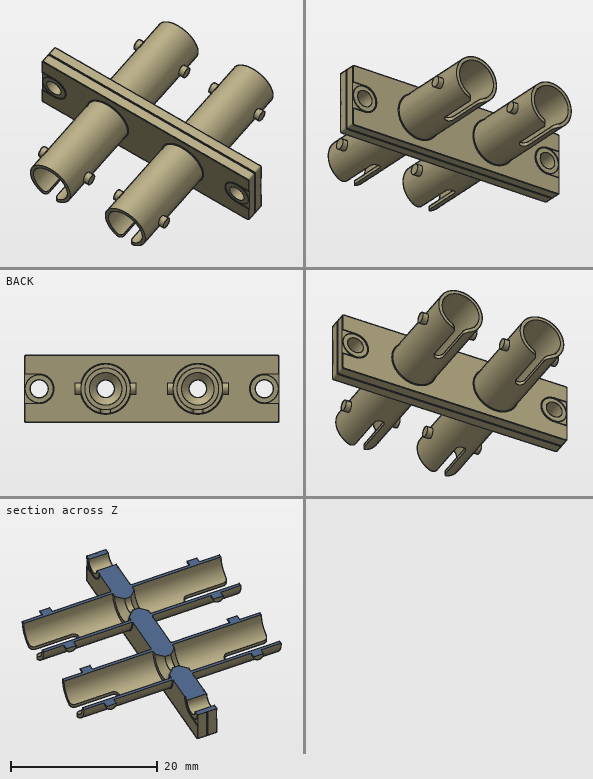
import cadquery as cq
import math

plate_length = 34.8
plate_height = 9.25
plate_thickness = 3.0
corner_radius = 0.28
face_chamfer = 0.07
groove_chamfer = 0.1

overall_depth = 29.95
barrel_spacing = 12.6
barrel_radius = 3.38
bore_radius = 2.85
base_flare = 0.1

core_hole_radius = 1.2
cone_mouth_radius = 2.23

keyway_width = 1.4
keyway_length = 6.95
keyway_mouth_radius = 0.7

pin_radius = 0.75
pin_reach = 4.18
pin_offset = 11.17

mount_spacing = 30.75
mount_hole_radius = 1.22
recess_radius = 2.02
recess_depth = 0.1
ring_radius = 1.9

half_thickness = plate_thickness / 2
half_depth = overall_depth / 2
half_length = plate_length / 2
barrel_positions = (-barrel_spacing / 2, barrel_spacing / 2)
mount_positions = (-mount_spacing / 2, mount_spacing / 2)


def rod(x, radius, start_y, end_y):
    """Cylinder along Y at height zero."""
    return cq.Workplane(
        cq.Solid.makeCylinder(radius, end_y - start_y, cq.Vector(x, start_y, 0), cq.Vector(0, 1, 0))
    )


def both_sides(front):
    """Join a +Y feature with its mirror image on the -Y side."""
    return front.union(front.mirror("XZ"))


def plate_half():
    """+Y half of the plate, chamfered outside and inside so the two halves meet in a V groove."""
    blank = cq.Workplane("XY").box(plate_length, half_thickness, plate_height)
    blank = blank.translate((0, half_thickness / 2, 0)).edges("|Y").fillet(corner_radius)
    blank = blank.faces(">Y").edges().chamfer(face_chamfer)
    return blank.faces("<Y").edges().chamfer(groove_chamfer)


def mount_recess(x):
    """Shallow U-shaped pocket, open at the plate end, that leaves a ring around the hole."""
    floor_y = half_thickness - recess_depth
    outward = 1 if x > 0 else -1
    run_out = half_length - abs(x)
    pocket = rod(x, recess_radius, floor_y, half_thickness)
    channel = cq.Workplane("XY").box(run_out, recess_depth, 2 * recess_radius)
    channel = channel.translate((x + outward * run_out / 2, floor_y + recess_depth / 2, 0))
    ring = rod(x, ring_radius, floor_y, half_thickness)
    return pocket.union(channel).cut(ring)


def barrel_half(x):
    """+Y half of a barrel with a small cone at its base and two bayonet pins."""
    barrel = rod(x, barrel_radius, 0, half_depth)
    flare = cq.Solid.makeCone(
        barrel_radius + base_flare,
        barrel_radius,
        base_flare,
        cq.Vector(x, half_thickness, 0),
        cq.Vector(0, 1, 0),
    )
    pins = cq.Workplane(
        cq.Solid.makeCylinder(
            pin_radius, 2 * pin_reach, cq.Vector(x - pin_reach, pin_offset, 0), cq.Vector(1, 0, 0)
        )
    )
    return barrel.union(cq.Workplane(flare)).union(pins)


def bore_half(x):
    """+Y bore with a 45 degree cone leading into the central hole."""
    bore = rod(x, bore_radius, half_thickness, half_depth)
    cone_depth = cone_mouth_radius - core_hole_radius
    cone = cq.Solid.makeCone(
        core_hole_radius,
        cone_mouth_radius,
        cone_depth,
        cq.Vector(x, half_thickness - cone_depth, 0),
        cq.Vector(0, 1, 0),
    )
    return bore.union(cq.Workplane(cone)).union(rod(x, core_hole_radius, 0, half_thickness))


def keyway_half(x):
    """Round-ended keyway with a rounded mouth, cut through the lower wall of the +Y barrel end."""
    half_width = keyway_width / 2
    half_mouth = half_width + keyway_mouth_radius
    arc_middle = half_mouth - keyway_mouth_radius * math.cos(math.pi / 4)
    end_y = half_depth - keyway_length
    arc_y = end_y + half_width
    mouth_y = half_depth - keyway_mouth_radius
    arc_middle_y = mouth_y + keyway_mouth_radius * math.sin(math.pi / 4)
    return (
        cq.Workplane("XY")
        .moveTo(x - half_mouth, half_depth)
        .threePointArc((x - arc_middle, arc_middle_y), (x - half_width, mouth_y))
        .lineTo(x - half_width, arc_y)
        .threePointArc((x, end_y), (x + half_width, arc_y))
        .lineTo(x + half_width, mouth_y)
        .threePointArc((x + arc_middle, arc_middle_y), (x + half_mouth, half_depth))
        .close()
        .extrude(-barrel_radius)
    )


result = both_sides(plate_half())

for mount_x in mount_positions:
    result = result.cut(both_sides(mount_recess(mount_x)))
    result = result.cut(rod(mount_x, mount_hole_radius, -half_thickness, half_thickness))

for barrel_x in barrel_positions:
    result = result.union(both_sides(barrel_half(barrel_x)))
    result = result.cut(both_sides(bore_half(barrel_x)))
    result = result.cut(both_sides(keyway_half(barrel_x)))